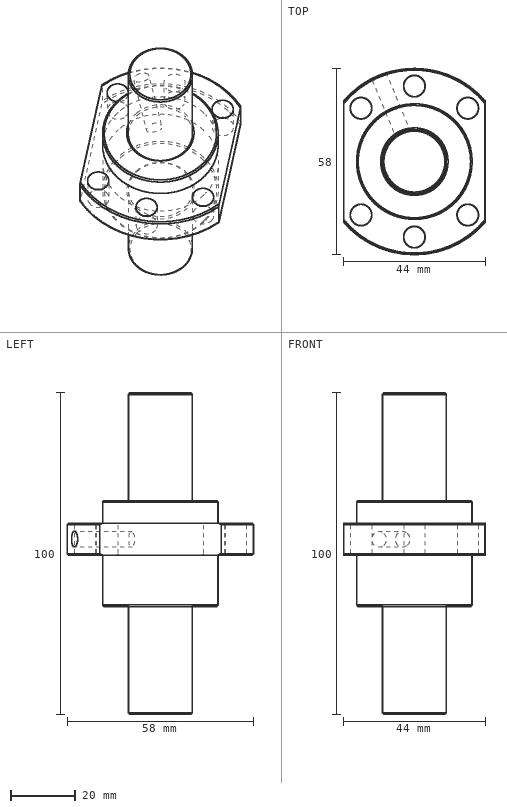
import cadquery as cq
import math

shaft_length = 100.0
shaft_diameter = 20.0

nut_length = 33.0
nut_diameter = 36.0

flange_diameter = 58.0
flange_width = 44.0
flange_thickness = 10.0
flange_setback = 7.0
flange_bottom = nut_length / 2 - flange_setback - flange_thickness

edge_chamfer = 0.5
bore_chamfer = 0.5

mount_hole_diameter = 6.6
mount_circle_diameter = 47.0
mount_angles = (45, 90, 135, 225, 270, 315)

port_diameter = 4.9
port_angle = (90 + 135) / 2


def chamfered_cylinder(diameter, length, bottom):
    """Vertical cylinder on the Z axis with both end edges broken."""
    cylinder = cq.Workplane("XY").workplane(offset=bottom).circle(diameter / 2).extrude(length)
    return cylinder.edges("%CIRCLE").chamfer(edge_chamfer)


def make_flange():
    """Chamfered disc trimmed to its flats and drilled for mounting screws."""
    disc = chamfered_cylinder(flange_diameter, flange_thickness, flange_bottom)
    trim = cq.Workplane("XY").box(flange_width, flange_diameter, shaft_length)
    radius = mount_circle_diameter / 2
    centers = [
        (radius * math.cos(math.radians(angle)), radius * math.sin(math.radians(angle)))
        for angle in mount_angles
    ]
    holes = (
        cq.Workplane("XY")
        .workplane(offset=flange_bottom)
        .pushPoints(centers)
        .circle(mount_hole_diameter / 2)
        .extrude(flange_thickness)
    )
    return disc.intersect(trim).cut(holes)


def bore_countersinks():
    """Conical rings that break the bore edge at both ends of the nut."""
    inner = shaft_diameter / 2
    end = nut_length / 2
    upper = (
        cq.Workplane("XZ")
        .polyline([(inner, end - bore_chamfer), (inner + bore_chamfer, end), (inner, end)])
        .close()
        .revolve(360, (0, 0, 0), (0, 1, 0))
    )
    return upper.union(upper.mirror("XY"))


def oil_port():
    """Radial hole from the flange rim to the shaft surface."""
    direction = cq.Vector(math.cos(math.radians(port_angle)), math.sin(math.radians(port_angle)), 0)
    start = cq.Vector(0, 0, flange_bottom + flange_thickness / 2)
    drill = cq.Solid.makeCylinder(port_diameter / 2, flange_diameter / 2, start, direction)
    return cq.Workplane("XY").add(drill)


nut = chamfered_cylinder(nut_diameter, nut_length, -nut_length / 2).union(make_flange())
nut = nut.cut(bore_countersinks()).cut(oil_port())

shaft = chamfered_cylinder(shaft_diameter, shaft_length, -shaft_length / 2)
result = nut.union(shaft)